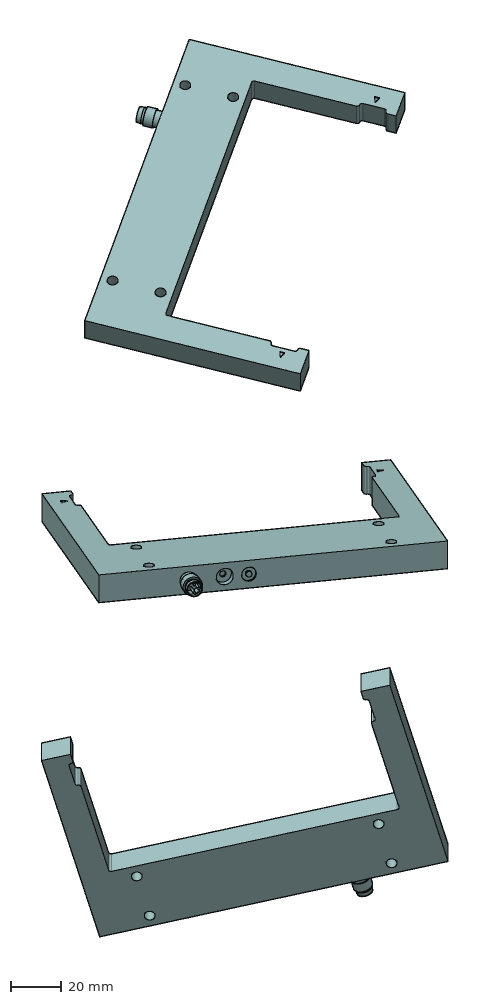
import cadquery as cq


BODY_LENGTH = 90.0
BODY_WIDTH = 144.0
THICKNESS = 12.0
SPINE_WIDTH = 30.0
ARM_WIDTH = 12.0
INNER_CORNER_RADIUS = 1.0

NOTCH_CENTER_X = 80.0
NOTCH_WIDTH = 11.0
NOTCH_CORNER_RADIUS = 1.0

ARROW_WIDTH = 2.0
ARROW_LENGTH = 2.6
ARROW_DEPTH = 0.5
UPPER_ARROW_CENTER_Y = 65.3
LOWER_ARROW_CENTER_Y = -65.2

MOUNT_HOLE_DIAMETER = 4.3
MOUNT_HOLE_SPACING_X = 20.0
MOUNT_HOLE_SPACING_Y = 100.0

CONNECTOR_Y = 35.0
CONNECTOR_LENGTH = 10.0
NECK_DIAMETER = 7.0
NECK_LENGTH = 3.0
COLLAR_DIAMETER = 8.0
COLLAR_LENGTH = 4.0
TIP_DIAMETER = 6.5
BARB_DIAMETER = 7.0
BARB_LENGTH = 2.0
SOCKET_DIAMETER = 5.8
SOCKET_DEPTH = 6.0
PIN_RECESS = 0.5
PIN_DIAMETER = 1.0
PIN_LENGTH = SOCKET_DEPTH - PIN_RECESS
PIN_OFFSET = 1.75
PIN_POSITIONS = ((0, PIN_OFFSET), (0, -PIN_OFFSET), (-PIN_OFFSET, 0))

ADJUSTER_Y = 20.0
ADJUSTER_DIAMETER = 7.0
ADJUSTER_DEPTH = 3.0
ADJUSTER_BORE_DIAMETER = 2.5
ADJUSTER_BORE_DEPTH = 1.0

INDICATOR_Y = 10.0
INDICATOR_DIAMETER = 6.0
INDICATOR_DEPTH = 1.0
INDICATOR_POST_DIAMETER = 2.5


def disc(x_start, length, diameter, y, z=0.0):
    """A cylinder along +X."""
    plane = cq.Workplane("YZ", origin=(x_start, y, z))
    return plane.circle(diameter / 2).extrude(length)


def slab(length, width):
    """A block as thick as the body, centred on the origin."""
    return cq.Workplane("XY").box(length, width, THICKNESS)


def make_body():
    body = slab(BODY_LENGTH, BODY_WIDTH).translate((BODY_LENGTH / 2, 0, 0))
    opening_width = BODY_WIDTH - 2 * ARM_WIDTH
    opening_length = BODY_LENGTH - SPINE_WIDTH
    opening = slab(opening_length, opening_width).edges("|Z and <X").fillet(INNER_CORNER_RADIUS)
    body = body.cut(opening.translate((SPINE_WIDTH + opening_length / 2, 0, 0)))
    notch = make_notch(opening_width / 2)
    return body.cut(notch).cut(notch.mirror("XZ"))


def make_notch(arm_inner_y):
    """Cutter for the +Y arm: each end is an S of two quarter arcs from the arm's side to the floor."""
    radius = NOTCH_CORNER_RADIUS
    half_width = NOTCH_WIDTH / 2
    wall_y = arm_inner_y + radius
    floor_y = wall_y + radius
    return (
        cq.Workplane("XY", origin=(NOTCH_CENTER_X, 0, -THICKNESS / 2))
        .moveTo(-half_width - radius, arm_inner_y)
        .radiusArc((-half_width, wall_y), -radius)
        .radiusArc((-half_width + radius, floor_y), radius)
        .lineTo(half_width - radius, floor_y)
        .radiusArc((half_width, wall_y), radius)
        .radiusArc((half_width + radius, arm_inner_y), -radius)
        .close()
        .extrude(THICKNESS)
    )


def cut_mount_holes(body):
    holes = (
        cq.Workplane("XY", origin=(SPINE_WIDTH / 2, 0, -THICKNESS / 2))
        .rarray(MOUNT_HOLE_SPACING_X, MOUNT_HOLE_SPACING_Y, 2, 2)
        .circle(MOUNT_HOLE_DIAMETER / 2)
        .extrude(THICKNESS)
    )
    return body.cut(holes)


def engrave_arrow(body, center_y):
    base_y = center_y + ARROW_LENGTH / 2
    arrow = (
        cq.Workplane("XY", origin=(NOTCH_CENTER_X, 0, THICKNESS / 2))
        .moveTo(-ARROW_WIDTH / 2, base_y)
        .lineTo(ARROW_WIDTH / 2, base_y)
        .lineTo(0, base_y - ARROW_LENGTH)
        .close()
        .extrude(-ARROW_DEPTH)
    )
    return body.cut(arrow)


def cut_adjuster(body):
    """Sunk recess with a smaller bore in its floor."""
    recess = disc(0, ADJUSTER_DEPTH, ADJUSTER_DIAMETER, ADJUSTER_Y)
    bore = disc(ADJUSTER_DEPTH, ADJUSTER_BORE_DEPTH, ADJUSTER_BORE_DIAMETER, ADJUSTER_Y)
    return body.cut(recess).cut(bore)


def cut_indicator(body):
    """Ring-shaped recess around a round post that ends level with the side."""
    recess = disc(0, INDICATOR_DEPTH, INDICATOR_DIAMETER, INDICATOR_Y)
    post = disc(0, INDICATOR_DEPTH, INDICATOR_POST_DIAMETER, INDICATOR_Y)
    return body.cut(recess.cut(post))


def make_connector():
    """Turned connector with a tapered snap-in barb, hollowed from its tip, and its contact pins."""
    tip_x = -CONNECTOR_LENGTH
    collar_x = -NECK_LENGTH - COLLAR_LENGTH
    barb_x = tip_x + BARB_LENGTH
    profile = (
        cq.Workplane("XY")
        .moveTo(0, 0)
        .lineTo(0, NECK_DIAMETER / 2)
        .lineTo(-NECK_LENGTH, NECK_DIAMETER / 2)
        .lineTo(-NECK_LENGTH, COLLAR_DIAMETER / 2)
        .lineTo(collar_x, COLLAR_DIAMETER / 2)
        .lineTo(collar_x, TIP_DIAMETER / 2)
        .lineTo(barb_x, TIP_DIAMETER / 2)
        .lineTo(barb_x, BARB_DIAMETER / 2)
        .lineTo(tip_x, TIP_DIAMETER / 2)
        .lineTo(tip_x, 0)
        .close()
    )
    connector = profile.revolve(360, (0, 0), (1, 0)).translate((0, CONNECTOR_Y, 0))
    connector = connector.cut(disc(tip_x, SOCKET_DEPTH, SOCKET_DIAMETER, CONNECTOR_Y))
    pin_x = tip_x + PIN_RECESS
    for pin_y, pin_z in PIN_POSITIONS:
        connector = connector.union(disc(pin_x, PIN_LENGTH, PIN_DIAMETER, CONNECTOR_Y + pin_y, pin_z))
    return connector


result = cut_mount_holes(make_body())
for arrow_y in (UPPER_ARROW_CENTER_Y, LOWER_ARROW_CENTER_Y):
    result = engrave_arrow(result, arrow_y)
result = cut_adjuster(result)
result = cut_indicator(result)
result = result.union(make_connector())